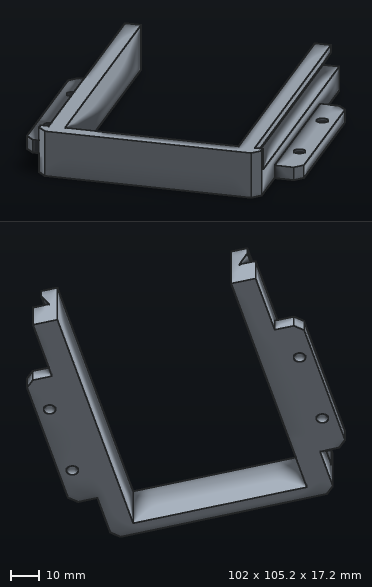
import cadquery as cq

frame_length = 105.2
frame_height = 17.2
overall_width = 102.0
flange_reach = 10.0
frame_width = overall_width - 2 * flange_reach
arm_width = 9.0
front_bar_depth = 5.0
corner_chamfer = 3.0

ledge_height = 9.3
lip_height = 2.8
lip_setback = 3.0
root_setback = 6.0

flange_length = 60.0
flange_thickness = 4.9
flange_start = 20.0
flange_chamfer = 2.9
hole_diameter = 4.2
hole_spacing = 30.0

half_width = frame_width / 2
flange_center_y = flange_start + flange_length / 2


def make_frame():
    """U-shaped frame with its two front corners chamfered."""
    outer = (
        cq.Workplane("XY")
        .box(frame_width, frame_length, frame_height, centered=(True, False, False))
        .edges("|Z and <Y")
        .chamfer(corner_chamfer)
    )
    opening = (
        cq.Workplane("XY", origin=(0, front_bar_depth, 0))
        .box(frame_width - 2 * arm_width, frame_length, frame_height, centered=(True, False, False))
    )
    return outer.cut(opening)


def make_channel():
    """Channel of the -X arm: open upward, with a sloping undercut below the lip."""
    lip_bottom = frame_height - lip_height
    outside = -half_width
    profile = [
        (outside, ledge_height),
        (outside + root_setback, ledge_height),
        (outside + lip_setback, lip_bottom),
        (outside + lip_setback, frame_height),
        (outside, frame_height),
    ]
    return (
        cq.Workplane("XZ", origin=(0, front_bar_depth, 0))
        .polyline(profile)
        .close()
        .extrude(front_bar_depth - frame_length)
    )


def make_flange():
    """Flange of the -X arm with chamfered outer corners and two through holes."""
    center_x = -half_width - flange_reach / 2
    return (
        cq.Workplane("XY", origin=(center_x, flange_center_y, 0))
        .box(flange_reach, flange_length, flange_thickness, centered=(True, True, False))
        .edges("|Z and <X")
        .chamfer(flange_chamfer)
        .faces(">Z")
        .workplane(origin=(center_x, flange_center_y, 0))
        .rarray(1, hole_spacing, 1, 2)
        .hole(hole_diameter)
    )


def with_mirror(body):
    """The body together with its mirror image on the +X side."""
    return body, body.mirror("YZ")


result = make_frame()
for channel in with_mirror(make_channel()):
    result = result.cut(channel)
for flange in with_mirror(make_flange()):
    result = result.union(flange)